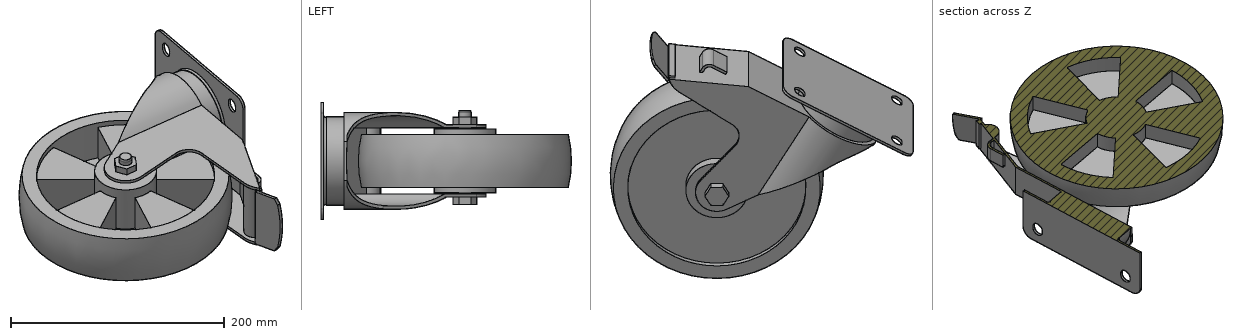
import cadquery as cq
import math


PLATE_LENGTH = 140.0
PLATE_WIDTH = 110.0
PLATE_THICKNESS = 2.5
PLATE_CORNER_RADIUS = 10.0
SLOT_PITCH_X = 105.0
SLOT_PITCH_Z = 77.5
SLOT_WIDTH = 11.0
SLOT_LENGTH = 13.5

HEAD_DIAMETER = 83.2
HEAD_GROOVE_DIAMETER = 81.8
HEAD_FLARE_DIAMETER = 84.5
HEAD_GROOVE_HEIGHT = 2.5

SHEET = 3.0
ROOF_THICKNESS = 2.5
FORK_TOP_Y = -21.5
FORK_HALF_GAP = 31.0
FORK_HALF_WIDTH = FORK_HALF_GAP + SHEET
FORK_CROWN_RADIUS = 45.5
FORK_REAR_X = -HEAD_DIAMETER / 2
FORK_REAR_Y = FORK_TOP_Y - SHEET
FORK_REAR_FLAT_X = -38.5
FORK_REAR_CURVE_MID = (-21.5, -38.7)
FORK_REAR_CURVE_END = (-8.0, -58.0)
FORK_END_RADIUS = 20.0
SLOPE_START_X = 95.8
TIP_X = 164.7
TIP_Y = -51.7
SLOPE_ANGLE = math.degrees(math.atan2(TIP_Y - FORK_TOP_Y, TIP_X - SLOPE_START_X))
NOSE_CURVE_MID = (159.5, -55.6)
NOSE_CURVE_END = (149.3, -58.8)
THROAT_UPPER = (91.0, -64.2)
THROAT_MID = (77.7, -71.0)
THROAT_LOWER = (75.2, -84.0)

AXLE_X = 65.0
AXLE_Y = -135.0
WHEEL_RADIUS = 100.0
WHEEL_EDGE_RADIUS = 97.0
WHEEL_WIDTH = 50.0
RIM_INNER_DIAMETER = 167.0
HUB_DIAMETER = 58.0
HUB_WIDTH = 60.0
SPOKE_COUNT = 5
SPOKE_RECESS = 5.4
POCKET_FLOOR = 3.0

BOLT_DIAMETER = 12.0
BOLT_END_Z = 47.2
BOLT_CHAMFER_HEIGHT = 2.0
BOLT_CHAMFER_WIDTH = 0.6
NUT_ACROSS_FLATS = 19.5
NUT_HEIGHT = 7.0

BRAKE_TUBE_DIAMETER = 20.0
BRAKE_TUBE_X = 147.0
BRAKE_TUBE_Y = -45.2
BRAKE_SHEET = 2.7
HOOK_START_X = 115.5
HOOK_END_X = 138.0
HOOK_TOP_Y = -27.2
HOOK_FOOT_Y = -42.0
HOOK_BEND_RADIUS = 7.5
HOOK_WIDTH = 30.0
PEDAL_START_X = 163.4
PEDAL_START_Y = -56.3
PEDAL_END_X = 188.5
PEDAL_CORNER_X = 182.6
PEDAL_SIDE_X = 186.0
PEDAL_SIDE_Z = 25.0
PEDAL_ANGLE = 23.0
TAB_LENGTH = 6.0
TAB_HEIGHT = 2.2


def slab(sketch, half_width):
    """Extrude a closed XY outline symmetrically about Z = 0."""
    return sketch.extrude(half_width, both=True)


def disc(x, y, diameter, half_width):
    """Cylinder along Z, symmetric about Z = 0."""
    return slab(cq.Workplane("XY").center(x, y).circle(diameter / 2), half_width)


def turned(diameter, top_y, bottom_y):
    """Cylinder on the swivel axis between two heights."""
    return cq.Workplane("XZ", origin=(0, top_y, 0)).circle(diameter / 2).extrude(top_y - bottom_y)


def make_plate():
    plate = cq.Workplane("XZ").rect(PLATE_LENGTH, PLATE_WIDTH).extrude(PLATE_THICKNESS)
    plate = plate.edges("|Y").fillet(PLATE_CORNER_RADIUS)
    slots = (
        cq.Workplane("XZ")
        .rect(SLOT_PITCH_X, SLOT_PITCH_Z, forConstruction=True)
        .vertices()
        .slot2D(SLOT_LENGTH, SLOT_WIDTH, 90)
        .extrude(PLATE_THICKNESS)
    )
    return plate.cut(slots)


def make_head():
    """Turned head whose groove flares out against the underside of the plate."""
    groove_bottom = -PLATE_THICKNESS - HEAD_GROOVE_HEIGHT
    flare_width = (HEAD_FLARE_DIAMETER - HEAD_GROOVE_DIAMETER) / 2
    flare_radius = (flare_width**2 + HEAD_GROOVE_HEIGHT**2) / (2 * flare_width)
    mid_angle = math.asin(HEAD_GROOVE_HEIGHT / flare_radius) / 2
    flare_mid = (
        HEAD_GROOVE_DIAMETER / 2 + flare_radius * (1 - math.cos(mid_angle)),
        groove_bottom + flare_radius * math.sin(mid_angle),
    )
    return (
        cq.Workplane("XY")
        .moveTo(0, FORK_TOP_Y)
        .lineTo(HEAD_DIAMETER / 2, FORK_TOP_Y)
        .lineTo(HEAD_DIAMETER / 2, groove_bottom)
        .lineTo(HEAD_GROOVE_DIAMETER / 2, groove_bottom)
        .threePointArc(flare_mid, (HEAD_FLARE_DIAMETER / 2, -PLATE_THICKNESS))
        .lineTo(0, -PLATE_THICKNESS)
        .close()
        .revolve(360, (0, 0), (0, 1))
    )


def end_tangent_point(point, side):
    """Point where a line from `point` touches the round fork end; `side` is +1 or -1."""
    dx = point[0] - AXLE_X
    dy = point[1] - AXLE_Y
    turn = math.acos(FORK_END_RADIUS / math.hypot(dx, dy))
    angle = math.atan2(dy, dx) + side * turn
    return AXLE_X + FORK_END_RADIUS * math.cos(angle), AXLE_Y + FORK_END_RADIUS * math.sin(angle)


def fork_side_outline():
    return (
        cq.Workplane("XY")
        .moveTo(FORK_REAR_X, FORK_TOP_Y)
        .lineTo(FORK_REAR_X, FORK_REAR_Y)
        .lineTo(FORK_REAR_FLAT_X, FORK_REAR_Y)
        .threePointArc(FORK_REAR_CURVE_MID, FORK_REAR_CURVE_END)
        .lineTo(*end_tangent_point(FORK_REAR_CURVE_END, 1))
        .threePointArc((AXLE_X, AXLE_Y - FORK_END_RADIUS), end_tangent_point(THROAT_LOWER, -1))
        .lineTo(*THROAT_LOWER)
        .threePointArc(THROAT_MID, THROAT_UPPER)
        .lineTo(*NOSE_CURVE_END)
        .threePointArc(NOSE_CURVE_MID, (TIP_X, TIP_Y))
        .lineTo(SLOPE_START_X, FORK_TOP_Y)
        .close()
    )


def fork_envelope(inset):
    """Round crown with two straight arms, shrunk by `inset` on every side."""
    height = FORK_TOP_Y - AXLE_Y + FORK_END_RADIUS
    crown = turned(2 * (FORK_CROWN_RADIUS - inset), FORK_TOP_Y, FORK_TOP_Y - height)
    arms = cq.Workplane("XY").box(
        TIP_X, height, 2 * (FORK_HALF_WIDTH - inset), centered=(False, False, True)
    )
    return crown.union(arms.translate((0, FORK_TOP_Y - height, 0)))


def make_fork():
    """Sheet walls closed by a roof that runs level and then slopes down to the tip."""
    shell = fork_envelope(0).cut(fork_envelope(SHEET))
    walls = slab(fork_side_outline(), FORK_CROWN_RADIUS).intersect(shell)
    bend_shift = ROOF_THICKNESS * math.tan(math.radians(SLOPE_ANGLE / 2))
    drop = ROOF_THICKNESS / math.cos(math.radians(SLOPE_ANGLE))
    roof = slab(
        cq.Workplane("XY").polyline(
            [
                (FORK_REAR_X, FORK_TOP_Y),
                (SLOPE_START_X, FORK_TOP_Y),
                (TIP_X, TIP_Y),
                (TIP_X, TIP_Y - drop),
                (SLOPE_START_X + bend_shift, FORK_TOP_Y - ROOF_THICKNESS),
                (FORK_REAR_X, FORK_TOP_Y - ROOF_THICKNESS),
            ]
        ).close(),
        FORK_CROWN_RADIUS,
    )
    return walls.union(roof.intersect(fork_envelope(SHEET)))


def make_wheel():
    """Crowned tread, hub and solid spokes, with a thin floor closing the pockets on the -Z side."""
    half_width = WHEEL_WIDTH / 2
    tread = (
        cq.Workplane("XY", origin=(AXLE_X, AXLE_Y, 0))
        .transformed(rotate=(90, 0, 0))
        .moveTo(RIM_INNER_DIAMETER / 2, -half_width)
        .lineTo(WHEEL_EDGE_RADIUS, -half_width)
        .threePointArc((WHEEL_RADIUS, 0), (WHEEL_EDGE_RADIUS, half_width))
        .lineTo(RIM_INNER_DIAMETER / 2, half_width)
        .close()
        .revolve(360, (0, 0), (0, 1))
    )
    half_angle = math.pi / SPOKE_COUNT / 2
    rim_radius = RIM_INNER_DIAMETER / 2
    wedge_x = rim_radius * math.cos(half_angle)
    wedge_y = rim_radius * math.sin(half_angle)
    wedge = slab(
        cq.Workplane("XY")
        .lineTo(wedge_x, -wedge_y)
        .threePointArc((rim_radius, 0), (wedge_x, wedge_y))
        .close(),
        half_width - SPOKE_RECESS,
    )
    wheel = tread.union(disc(AXLE_X, AXLE_Y, HUB_DIAMETER, HUB_WIDTH / 2))
    for index in range(SPOKE_COUNT):
        spoke = wedge.rotate((0, 0, 0), (0, 0, 1), index * 360 / SPOKE_COUNT)
        wheel = wheel.union(spoke.translate((AXLE_X, AXLE_Y, 0)))
    floor_z = -half_width + SPOKE_RECESS
    floor = cq.Workplane("XY", origin=(AXLE_X, AXLE_Y, floor_z)).circle(rim_radius).extrude(POCKET_FLOOR)
    return wheel.union(floor)


def make_bolt():
    nut_z = FORK_HALF_WIDTH + NUT_HEIGHT
    across_corners = NUT_ACROSS_FLATS / math.cos(math.pi / 6)
    hexagon = cq.Workplane("XY").center(AXLE_X, AXLE_Y).transformed(rotate=(0, 0, 90))
    nuts = slab(hexagon.polygon(6, across_corners), nut_z)
    nuts = nuts.cut(disc(AXLE_X, AXLE_Y, across_corners, FORK_HALF_WIDTH))
    shank = (
        cq.Workplane("XY", origin=(AXLE_X, AXLE_Y, -nut_z))
        .circle(BOLT_DIAMETER / 2)
        .extrude(nut_z + BOLT_END_Z)
        .faces(">Z")
        .chamfer(BOLT_CHAMFER_HEIGHT, BOLT_CHAMFER_WIDTH)
    )
    return shank.union(nuts)


def make_brake_tube():
    """Round bar under the sloping roof, cut off flush with the roof."""
    bar = disc(BRAKE_TUBE_X, BRAKE_TUBE_Y, BRAKE_TUBE_DIAMETER, FORK_HALF_GAP)
    below_roof = slab(
        cq.Workplane("XY")
        .moveTo(SLOPE_START_X, FORK_TOP_Y)
        .lineTo(TIP_X, TIP_Y)
        .lineTo(TIP_X, AXLE_Y)
        .lineTo(SLOPE_START_X, AXLE_Y)
        .close(),
        FORK_HALF_GAP,
    )
    return bar.intersect(below_roof)


def make_hook():
    """Bent strip that rises from the roof and turns back toward the swivel head."""
    inner_radius = HOOK_BEND_RADIUS - BRAKE_SHEET
    bend_x = HOOK_END_X - HOOK_BEND_RADIUS
    bend_y = HOOK_TOP_Y - HOOK_BEND_RADIUS
    cos_45 = math.sqrt(0.5)
    return slab(
        cq.Workplane("XY")
        .moveTo(HOOK_START_X, HOOK_TOP_Y)
        .lineTo(bend_x, HOOK_TOP_Y)
        .threePointArc(
            (bend_x + HOOK_BEND_RADIUS * cos_45, bend_y + HOOK_BEND_RADIUS * cos_45),
            (HOOK_END_X, bend_y),
        )
        .lineTo(HOOK_END_X, HOOK_FOOT_Y)
        .lineTo(HOOK_END_X - BRAKE_SHEET, HOOK_FOOT_Y)
        .lineTo(HOOK_END_X - BRAKE_SHEET, bend_y)
        .threePointArc(
            (bend_x + inner_radius * cos_45, bend_y + inner_radius * cos_45),
            (bend_x, HOOK_TOP_Y - BRAKE_SHEET),
        )
        .lineTo(HOOK_START_X, HOOK_TOP_Y - BRAKE_SHEET)
        .close(),
        HOOK_WIDTH / 2,
    )


def make_pedal():
    """Inclined sheet with a rounded free end."""
    slope = math.tan(math.radians(PEDAL_ANGLE))
    rise = (PEDAL_END_X - PEDAL_START_X) * slope
    depth = BRAKE_SHEET / math.cos(math.radians(PEDAL_ANGLE))
    sheet = slab(
        cq.Workplane("XY").polyline(
            [
                (PEDAL_START_X, PEDAL_START_Y),
                (PEDAL_END_X, PEDAL_START_Y + rise),
                (PEDAL_END_X, PEDAL_START_Y + rise + depth),
                (PEDAL_START_X, PEDAL_START_Y + depth),
            ]
        ).close(),
        FORK_HALF_GAP,
    )
    plan = (
        cq.Workplane("XZ")
        .moveTo(PEDAL_START_X, -FORK_HALF_GAP)
        .lineTo(PEDAL_CORNER_X, -FORK_HALF_GAP)
        .lineTo(PEDAL_SIDE_X, -PEDAL_SIDE_Z)
        .threePointArc((PEDAL_END_X, 0), (PEDAL_SIDE_X, PEDAL_SIDE_Z))
        .lineTo(PEDAL_CORNER_X, FORK_HALF_GAP)
        .lineTo(PEDAL_START_X, FORK_HALF_GAP)
        .close()
        .extrude(-AXLE_Y)
    )
    return sheet.intersect(plan)


def make_tab():
    """Low strip on the roof at its tip, across the full gap."""
    strip = cq.Workplane("XY").box(
        TAB_LENGTH, ROOF_THICKNESS / 2 + TAB_HEIGHT, 2 * FORK_HALF_GAP, centered=(False, False, True)
    )
    strip = strip.translate((-TAB_LENGTH, -ROOF_THICKNESS / 2, 0))
    strip = strip.rotate((0, 0, 0), (0, 0, 1), SLOPE_ANGLE)
    return strip.translate((TIP_X, TIP_Y, 0))


result = (
    make_plate()
    .union(make_head())
    .union(make_fork())
    .union(make_wheel())
    .union(make_bolt())
    .union(make_brake_tube())
    .union(make_hook())
    .union(make_pedal())
    .union(make_tab())
)